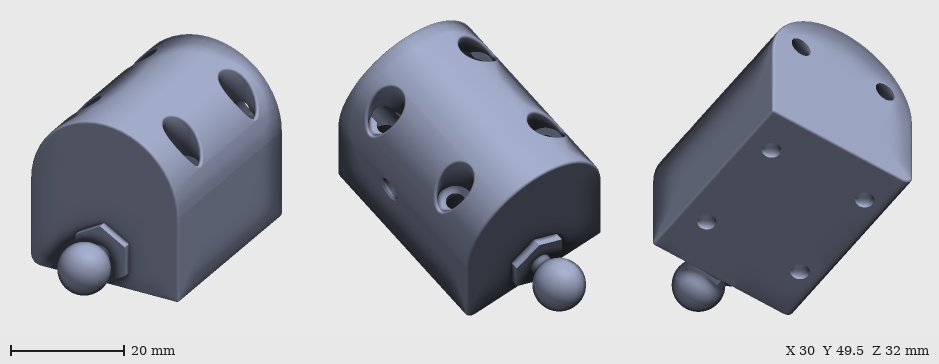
import cadquery as cq
import math

WIDTH = 30.0
HEIGHT = 32.0
LENGTH = 37.5
TOP_RADIUS = WIDTH / 2
SHOULDER_Z = HEIGHT - TOP_RADIUS
BASE_CORNER_RADIUS = 2.0
EDGE_FILLET = 0.5

SCREW_X = 10.0
SCREW_PITCH = 20.0
REAR_SCREW_Y = LENGTH - 7.7
SCREW_YS = (REAR_SCREW_Y - SCREW_PITCH, REAR_SCREW_Y)
SCREW_DIAMETER = 3.4
COUNTERBORE_DIAMETER = 6.5
COUNTERBORE_FLOOR_Z = 22.0
MOUTH_FILLET = 0.4
EDGE_CLEARANCE = 0.5

DRILL_DIAMETER = 4.0
DRILL_DEPTH = 9.0
DRILL_TIP_ANGLE = 118
SIDE_HOLE_Y = LENGTH - 15.0
SIDE_HOLE_Z = 15.0
SIDE_MOUTH_CHAMFER = 0.4
REAR_HOLE_X = 9.0
REAR_HOLE_DROP = 0.5
REAR_HOLE_Z = COUNTERBORE_FLOOR_Z - REAR_HOLE_DROP

STUD_Z = 6.4
HEX_ACROSS_FLATS = 10.0
HEX_THICKNESS = 1.5
NECK_DIAMETER = 4.0
BALL_DIAMETER = 9.5
OVERALL_LENGTH = 49.45
STUD_LENGTH = OVERALL_LENGTH - LENGTH
BALL_CENTER_Y = BALL_DIAMETER / 2 - STUD_LENGTH


def block():
    """Round-topped block with one rounded base edge and softened end edges."""
    half = WIDTH / 2
    body = (
        cq.Workplane("XZ")
        .moveTo(-half, 0)
        .lineTo(half, 0)
        .lineTo(half, SHOULDER_Z)
        .threePointArc((0, HEIGHT), (-half, SHOULDER_Z))
        .close()
        .extrude(-LENGTH)
    )
    body = body.edges("|Y and <Z and <X").fillet(BASE_CORNER_RADIUS)
    body = body.edges("|Y and <Z and >X").fillet(EDGE_FILLET)
    return body.faces("<Y or >Y").edges().fillet(EDGE_FILLET)


def drill(mouth, direction):
    """Cylinder with a conical tip, running from the mouth centre along direction."""
    radius = DRILL_DIAMETER / 2
    tip_length = radius / math.tan(math.radians(DRILL_TIP_ANGLE / 2))
    axis = cq.Vector(*direction)
    shoulder = cq.Vector(*mouth) + axis * DRILL_DEPTH
    shank = cq.Solid.makeCylinder(radius, DRILL_DEPTH, cq.Vector(*mouth), axis)
    tip = cq.Solid.makeCone(radius, 0, tip_length, shoulder, axis)
    return shank.fuse(tip)


def cut_counterbores(body):
    """Sink the four counterbores and round their mouths on the curved top."""
    centers = [(x, y) for x in (-SCREW_X, SCREW_X) for y in SCREW_YS]
    bores = (
        cq.Workplane("XY", origin=(0, 0, COUNTERBORE_FLOOR_Z))
        .pushPoints(centers)
        .circle(COUNTERBORE_DIAMETER / 2)
        .extrude(HEIGHT)
    )
    body = body.cut(bores)
    reach = COUNTERBORE_DIAMETER / 2 + MOUTH_FILLET
    for x, y in centers:
        mouth = cq.selectors.BoxSelector(
            (x - reach, y - reach, COUNTERBORE_FLOOR_Z + EDGE_CLEARANCE),
            (x + reach, y + reach, HEIGHT),
            boundingbox=True,
        )
        body = body.edges(mouth).fillet(MOUTH_FILLET)
    screws = cq.Workplane("XY").pushPoints(centers).circle(SCREW_DIAMETER / 2).extrude(HEIGHT)
    return body.cut(screws)


def cut_side_hole(body):
    """Drill the blind hole in the -X wall and chamfer its mouth."""
    mouth = (-WIDTH / 2, SIDE_HOLE_Y, SIDE_HOLE_Z)
    inward = (1, 0, 0)
    mouth_cone = cq.Solid.makeCone(
        DRILL_DIAMETER / 2 + SIDE_MOUTH_CHAMFER,
        DRILL_DIAMETER / 2,
        SIDE_MOUTH_CHAMFER,
        cq.Vector(*mouth),
        cq.Vector(*inward),
    )
    return body.cut(cq.Workplane(drill(mouth, inward))).cut(cq.Workplane(mouth_cone))


def cut_rear_holes(body):
    """Drill the two blind rear holes that break into the rear counterbores."""
    for x in (-REAR_HOLE_X, REAR_HOLE_X):
        body = body.cut(cq.Workplane(drill((x, LENGTH, REAR_HOLE_Z), (0, -1, 0))))
    return body


def make_housing():
    return cut_rear_holes(cut_side_hole(cut_counterbores(block())))


def make_ball_stud():
    """Hexagon seated on the front face, with a neck carrying the ball."""
    seat = cq.Workplane("XZ", origin=(0, 0, STUD_Z))
    hexagon = seat.polygon(6, HEX_ACROSS_FLATS, circumscribed=True).extrude(HEX_THICKNESS)
    neck = seat.circle(NECK_DIAMETER / 2).extrude(-BALL_CENTER_Y)
    ball = cq.Workplane("XY", origin=(0, BALL_CENTER_Y, STUD_Z)).sphere(BALL_DIAMETER / 2)
    return hexagon.union(neck).union(ball)


housing = make_housing()
ball_stud = make_ball_stud()
result = cq.Compound.makeCompound([housing.val(), ball_stud.val()])